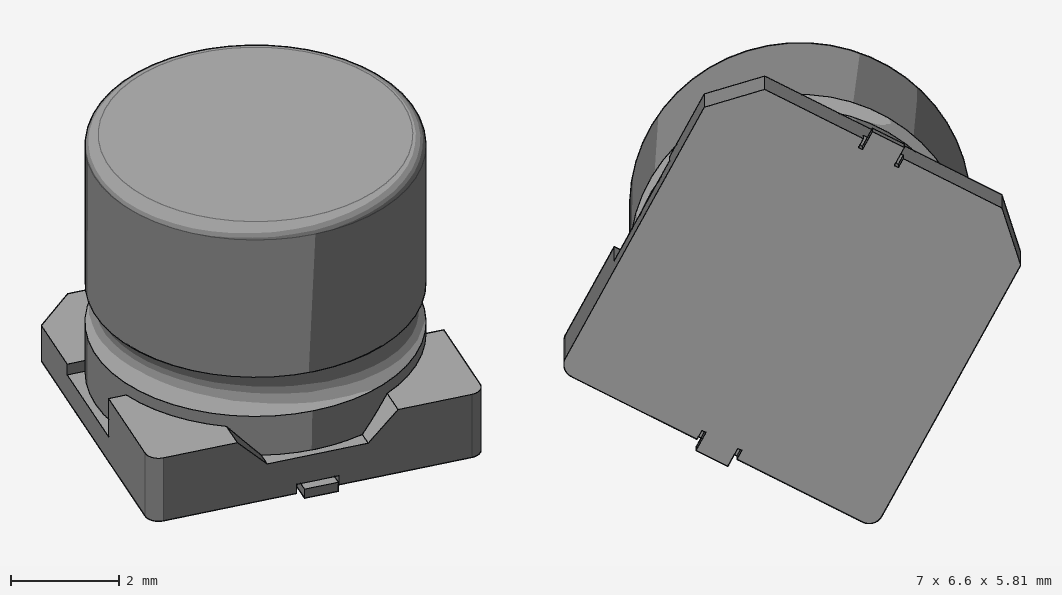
import cadquery as cq

base_side = 6.6
base_height = 0.79
post_height = 1.4
corner_chamfer = 0.825
corner_radius = 0.265

side_gap_half_width = 1.1
side_gap_floor = 0.55

channel_floor_width = 1.99
channel_top_width = 3.165

overall_length = 7.0
lead_width = 0.665
lead_thickness = 0.2
slot_width = 0.83
slot_depth = 0.195

can_diameter = 6.3
can_top = 5.81
rim_radius = 0.245
groove_bottom = 1.65
groove_top = 2.52
groove_depth = 0.245

half_side = base_side / 2
can_radius = can_diameter / 2


def box(x_min, x_max, width, z_min, z_max):
    """Box between two X and two Z positions, centred on Y."""
    return (
        cq.Workplane("XY", origin=((x_min + x_max) / 2, 0, z_min))
        .box(x_max - x_min, width, z_max - z_min, centered=(True, True, False))
    )


def make_base():
    """Base plate with tall +X posts, chamfered -X corners and round +X corners."""
    profile = [
        (-half_side, 0),
        (half_side, 0),
        (half_side, post_height),
        (side_gap_half_width, post_height),
        (side_gap_half_width, side_gap_floor),
        (-side_gap_half_width, side_gap_floor),
        (-side_gap_half_width, base_height),
        (-half_side, base_height),
    ]
    body = cq.Workplane("XZ").polyline(profile).close().extrude(half_side, both=True)
    body = body.edges("|Z and <X").chamfer(corner_chamfer)
    return body.edges("|Z and >X").fillet(corner_radius)


def make_channel():
    """Channel along X between the posts, with sloping sides."""
    profile = [
        (-channel_floor_width / 2, base_height),
        (channel_floor_width / 2, base_height),
        (channel_top_width / 2, post_height),
        (-channel_top_width / 2, post_height),
    ]
    channel = cq.Workplane("YZ", origin=(side_gap_half_width, 0, 0)).polyline(profile).close()
    return channel.extrude(half_side - side_gap_half_width)


def make_can():
    """Can turned about Z, with a rolled groove near its foot and a rounded top rim."""
    groove_middle = (groove_bottom + groove_top) / 2
    can = (
        cq.Workplane("XZ")
        .moveTo(0, side_gap_floor)
        .lineTo(can_radius, side_gap_floor)
        .lineTo(can_radius, groove_bottom)
        .threePointArc((can_radius - groove_depth, groove_middle), (can_radius, groove_top))
        .lineTo(can_radius, can_top)
        .lineTo(0, can_top)
        .close()
        .revolve(360, (0, 0, 0), (0, 1, 0))
    )
    return can.faces(">Z").edges().fillet(rim_radius)


slot_inner_x = half_side - slot_depth
result = make_base().cut(make_channel()).union(make_can())

for slot_start, slot_end, lead_start, lead_end in (
    (-half_side, -slot_inner_x, -overall_length / 2, -slot_inner_x),
    (slot_inner_x, half_side, slot_inner_x, overall_length / 2),
):
    result = result.cut(box(slot_start, slot_end, slot_width, 0, lead_thickness))
    result = result.union(box(lead_start, lead_end, lead_width, 0, lead_thickness))